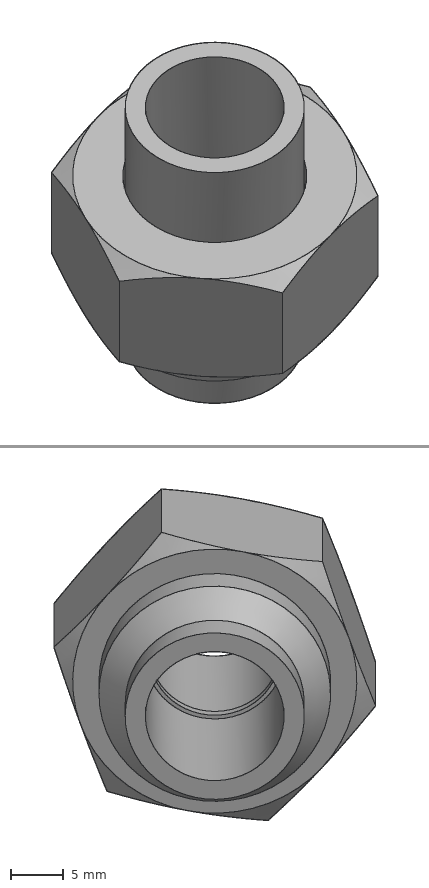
import cadquery as cq
import math


total_height = 32.0
pipe_radius = 8.5
pipe_bore_radius = 6.6
collar_radius = 11.0
seal_bore_radius = 6.2

body_pipe_length = 3.25
collar_bottom = 5.75

nut_bottom = 9.0
nut_top = 22.55
nut_across_flats = 27.0
nut_chamfer_angle = 30.0
nut_hole_radius = 8.75
nut_lip_thickness = 3.2

flange_thickness = 2.55
seal_thickness = 0.95

flange_top = nut_top - nut_lip_thickness
flange_bottom = flange_top - flange_thickness
body_top = flange_bottom - seal_thickness


def cylinder(radius, bottom, top):
    """Solid cylinder on the Z axis between two heights."""
    return cq.Workplane("XY").workplane(offset=bottom).circle(radius).extrude(top - bottom)


def make_body():
    """Pipe end that widens through a cone to the collar inside the nut."""
    profile = [
        (pipe_bore_radius, 0),
        (pipe_radius, 0),
        (pipe_radius, body_pipe_length),
        (collar_radius, collar_bottom),
        (collar_radius, body_top),
        (pipe_bore_radius, body_top),
    ]
    return cq.Workplane("XZ").polyline(profile).close().revolve(360, (0, 0), (0, 1))


def make_seal():
    """Flat ring between body and tail, slightly narrower inside than their bores."""
    ring = cylinder(collar_radius, body_top, flange_bottom)
    return ring.cut(cylinder(seal_bore_radius, body_top, flange_bottom))


def make_tail():
    """Pipe end with a flange that the nut's lip holds down."""
    flange = cylinder(collar_radius, flange_bottom, flange_top)
    pipe = cylinder(pipe_radius, flange_bottom, total_height)
    return flange.union(pipe).cut(cylinder(pipe_bore_radius, flange_bottom, total_height))


def make_chamfer_envelope():
    """Revolved shape whose conical ends chamfer the corners of the hexagon."""
    flat_radius = nut_across_flats / 2
    corner_radius = flat_radius / math.cos(math.radians(30))
    envelope_radius = corner_radius + 0.32
    drop = (envelope_radius - flat_radius) * math.tan(math.radians(nut_chamfer_angle))
    profile = [
        (0, nut_bottom),
        (flat_radius, nut_bottom),
        (envelope_radius, nut_bottom + drop),
        (envelope_radius, nut_top - drop),
        (flat_radius, nut_top),
        (0, nut_top),
    ]
    return cq.Workplane("XZ").polyline(profile).close().revolve(360, (0, 0), (0, 1))


def make_nut():
    """Hexagon nut, corners along X, bored for the collar below its lip."""
    across_corners = nut_across_flats / math.cos(math.radians(30))
    hexagon = (
        cq.Workplane("XY")
        .workplane(offset=nut_bottom)
        .polygon(6, across_corners)
        .extrude(nut_top - nut_bottom)
    )
    nut = hexagon.intersect(make_chamfer_envelope())
    nut = nut.cut(cylinder(nut_hole_radius, nut_bottom, nut_top))
    return nut.cut(cylinder(collar_radius, nut_bottom, flange_top))


body = make_body()
seal = make_seal()
tail = make_tail()
nut = make_nut()

result = cq.Compound.makeCompound([body.val(), seal.val(), tail.val(), nut.val()])